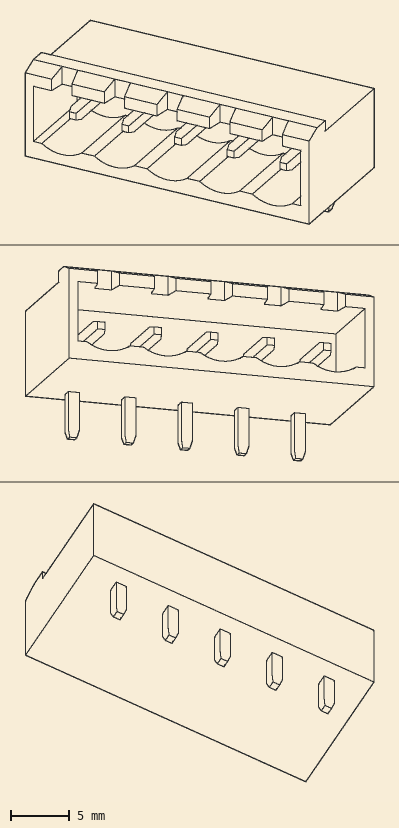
import cadquery as cq


contact_count = 5
pitch = 5.08
pin_width = 1.0
pin_tip_width = 0.65
pin_tip_length = 0.65
pin_drop = 4.0
pin_axis_height = 3.8
pin_front_setback = 2.0
pin_back_setback = 2.0

housing_length = 27.4
housing_depth = 12.0
housing_height = 7.6
rib_rise = 1.0
rib_depth = 3.0
rib_slope_run = 1.5
rib_slope_drop = 0.6

end_wall = 0.8
floor_height = 1.6
ceiling_height = 6.9
cavity_depth = 8.0
scallop_width = 3.85
scallop_sag = 0.6

slot_front_width = 1.95
slot_back_width = 1.5
slot_depth = rib_slope_run

rib_top = housing_height + rib_rise
pin_axis_y = housing_depth - pin_back_setback
contact_positions = [(i - (contact_count - 1) / 2) * pitch for i in range(contact_count)]


def make_housing():
    """Side profile with the raised, sloped front rib, extruded along X."""
    profile = [
        (0, 0),
        (housing_depth, 0),
        (housing_depth, housing_height),
        (rib_depth, housing_height),
        (rib_depth, rib_top),
        (rib_slope_run, rib_top),
        (0, rib_top - rib_slope_drop),
    ]
    return cq.Workplane("YZ").polyline(profile).close().extrude(housing_length / 2, both=True)


def make_cavity():
    """Front opening whose floor dips in a shallow arc under each contact."""
    half_length = housing_length / 2 - end_wall
    outline = cq.Workplane("XZ").moveTo(-half_length, ceiling_height).lineTo(-half_length, floor_height)
    for x in contact_positions:
        outline = outline.lineTo(x - scallop_width / 2, floor_height)
        outline = outline.threePointArc(
            (x, floor_height - scallop_sag),
            (x + scallop_width / 2, floor_height),
        )
    outline = outline.lineTo(half_length, floor_height).lineTo(half_length, ceiling_height)
    return outline.close().extrude(-cavity_depth)


def make_slot(x):
    """Coding slot, wider at the front, open from the cavity up through the rib."""
    plan = [
        (x - slot_front_width / 2, 0),
        (x + slot_front_width / 2, 0),
        (x + slot_back_width / 2, slot_depth),
        (x - slot_back_width / 2, slot_depth),
    ]
    base_height = (floor_height + ceiling_height) / 2
    return cq.Workplane("XY", origin=(0, 0, base_height)).polyline(plan).close().extrude(rib_top - base_height)


def make_leg(start_plane, length):
    """Square bar along the plane normal, ending in a tapered tip."""
    straight_length = length - pin_tip_length
    bar = cq.Workplane(start_plane).rect(pin_width, pin_width).extrude(straight_length)
    tip = (
        cq.Workplane(start_plane)
        .workplane(offset=straight_length)
        .rect(pin_width, pin_width)
        .workplane(offset=pin_tip_length)
        .rect(pin_tip_width, pin_tip_width)
        .loft(ruled=True)
    )
    return bar.union(tip)


def make_pin(x):
    """Right-angle contact: one leg into the cavity, one leg below the housing."""
    corner = (x, pin_axis_y, pin_axis_height)
    plug_leg = make_leg(cq.Plane(corner, (1, 0, 0), (0, -1, 0)), pin_axis_y - pin_front_setback)
    board_leg = make_leg(cq.Plane(corner, (1, 0, 0), (0, 0, -1)), pin_axis_height + pin_drop)
    return plug_leg.union(board_leg)


result = make_housing().cut(make_cavity())
for position in contact_positions:
    result = result.cut(make_slot(position))
for position in contact_positions:
    result = result.union(make_pin(position))